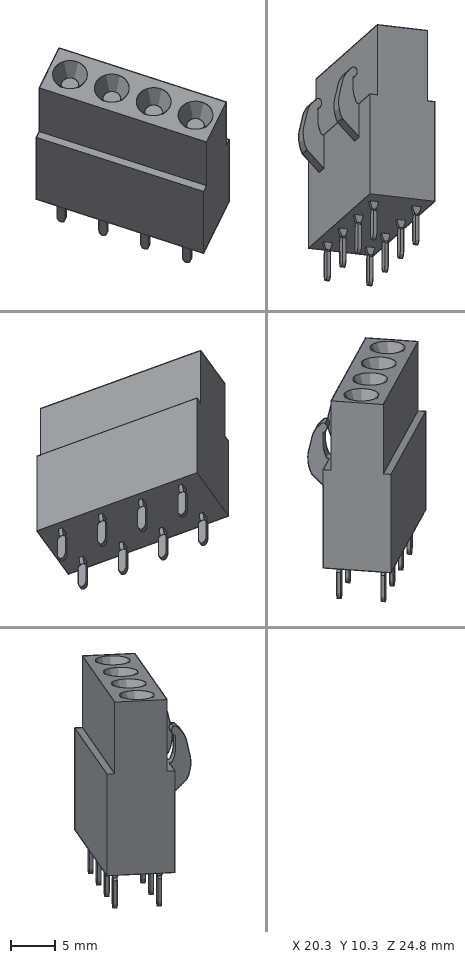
import cadquery as cq

pole_count = 4
housing_length = 20.32
pitch = housing_length / pole_count
total_height = 24.75
pole_positions = [(index - (pole_count - 1) / 2) * pitch for index in range(pole_count)]

base_depth = 7.8
upper_depth = 6.01
upper_height = 8.37
base_bottom = 4.5
step_level = total_height - upper_height

entry_diameter = 3.9
entry_floor_diameter = 1.98
entry_depth = 2.0

hook_width = 1.53
hook_spacing = 11.68
hook_reach = 2.48
hook_foot_drop = 3.98
hook_inner_gap = 0.72

hook_ramp_end = (2.03, -2.0)
hook_belly = (hook_reach, -0.17)
hook_back_start = (2.43, 0.6)
hook_back_end = (2.0, 2.43)
hook_shoulder_mid = (1.68, 3.27)
hook_shoulder_end = (1.16, 3.9)
hook_tip_start = (0.9, 4.18)
hook_tip_top = (0.7, 4.25)
hook_nose_start = (0.47, 4.23)
hook_nose_mid = (0.27, 3.6)
hook_nose_end = 3.07
hook_throat_start = 1.48
hook_throat_mid = (0.6, 0.82)
hook_root_start = (0.35, 0.15)
hook_root_mid = (0.27, 0.05)
hook_root_end = (0.15, 0)

pin_row_spacing = pitch
pin_thickness = 0.42
root_depth = 1.0
neck_width = 0.5
neck_length = 0.92
neck_mid_thickness = 0.82
blade_width = 1.0
shoulder_length = 0.27
tip_length = 0.75
tip_mid_width = 0.9
tip_side_width = 0.65
tip_side_drop = 0.55


def make_hook(x_center):
    """Latch hook: side profile in Y and Z, extruded along X."""
    wall = base_depth / 2

    def at(point):
        """Place an (outward, upward) hook point relative to the wall and the step."""
        outward, upward = point
        return (wall + outward, step_level + upward)

    profile = (
        cq.Workplane("YZ", origin=(x_center - hook_width / 2, 0, 0))
        .moveTo(*at((0, -hook_foot_drop)))
        .lineTo(*at(hook_ramp_end))
        .threePointArc(at(hook_belly), at(hook_back_start))
        .lineTo(*at(hook_back_end))
        .threePointArc(at(hook_shoulder_mid), at(hook_shoulder_end))
        .lineTo(*at(hook_tip_start))
        .threePointArc(at(hook_tip_top), at(hook_nose_start))
        .threePointArc(at(hook_nose_mid), at((hook_inner_gap, hook_nose_end)))
        .lineTo(*at((hook_inner_gap, hook_throat_start)))
        .threePointArc(at(hook_throat_mid), at(hook_root_start))
        .threePointArc(at(hook_root_mid), at(hook_root_end))
        .lineTo(*at((0, 0)))
        .close()
    )
    return profile.extrude(hook_width)


def make_entry(x_center):
    """Conical wire entry with a flat floor."""
    return (
        cq.Workplane("XY", origin=(x_center, 0, total_height))
        .circle(entry_diameter / 2)
        .workplane(offset=-entry_depth)
        .circle(entry_floor_diameter / 2)
        .loft(ruled=True)
    )


def make_housing():
    """Stepped block with wire entries and two latch hooks."""
    base = cq.Workplane("XY", origin=(0, 0, base_bottom)).box(
        housing_length, base_depth, step_level - base_bottom, centered=(True, True, False)
    )
    upper = cq.Workplane("XY", origin=(0, 0, step_level)).box(
        housing_length, upper_depth, upper_height, centered=(True, True, False)
    )
    body = base.union(upper)
    for x in pole_positions:
        body = body.cut(make_entry(x))
    for side in (-1, 1):
        body = body.union(make_hook(side * hook_spacing / 2))
    return body


def make_pin(x, y):
    """Solder pin: neck tapering in Y, then a flat blade with a rounded tip."""
    neck_bottom = base_bottom - neck_length
    root = root_depth / 2
    half_thickness = pin_thickness / 2
    bulge = (neck_mid_thickness / 2, base_bottom - neck_length / 2)
    neck = (
        cq.Workplane("YZ", origin=(x - neck_width / 2, y, 0))
        .moveTo(-root, base_bottom)
        .lineTo(root, base_bottom)
        .threePointArc(bulge, (half_thickness, neck_bottom))
        .lineTo(-half_thickness, neck_bottom)
        .threePointArc((-bulge[0], bulge[1]), (-root, base_bottom))
        .close()
        .extrude(neck_width)
    )
    half_neck = neck_width / 2
    half_blade = blade_width / 2
    half_side = tip_side_width / 2
    shoulder = neck_bottom - shoulder_length
    tip_side_end = tip_length - tip_side_drop
    side_mid = (tip_mid_width / 2, tip_length - tip_side_drop / 2)
    blade = (
        cq.Workplane("XZ", origin=(x, y + half_thickness, 0))
        .moveTo(-half_neck, neck_bottom)
        .lineTo(half_neck, neck_bottom)
        .lineTo(half_blade, shoulder)
        .lineTo(half_blade, tip_length)
        .threePointArc(side_mid, (half_side, tip_side_end))
        .threePointArc((0, 0), (-half_side, tip_side_end))
        .threePointArc((-side_mid[0], side_mid[1]), (-half_blade, tip_length))
        .lineTo(-half_blade, shoulder)
        .close()
        .extrude(pin_thickness)
    )
    return neck.union(blade)


housing = make_housing()
pins = [
    make_pin(x, row * pin_row_spacing / 2)
    for row in (-1, 1)
    for x in pole_positions
]

result = cq.Compound.makeCompound([housing.val(), *[pin.val() for pin in pins]])